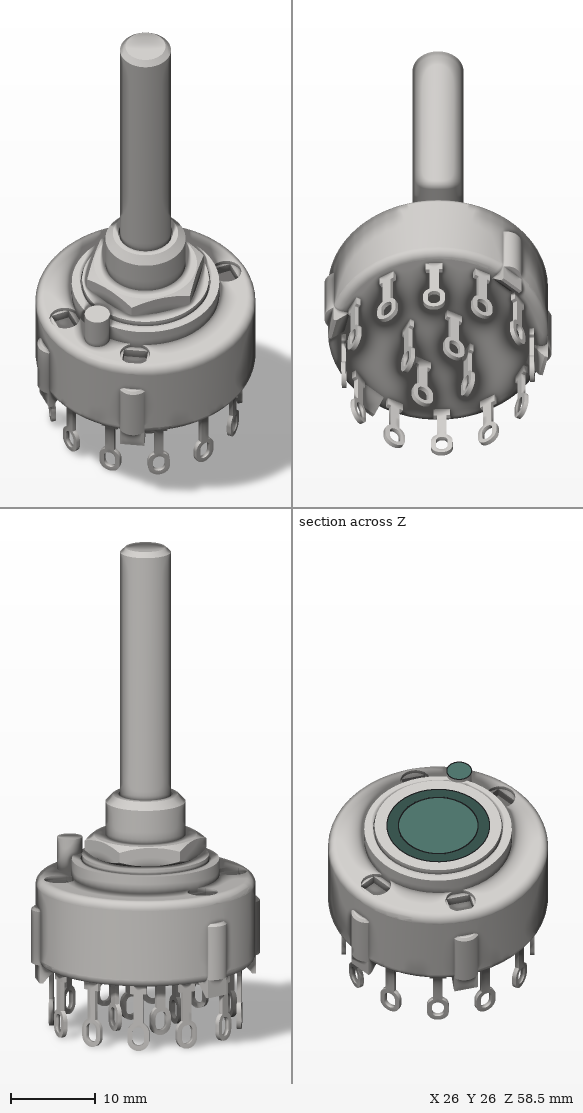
import cadquery as cq
import math


overall_height = 58.5
terminal_length = 8.1
shaft_top = overall_height - terminal_length

housing_diameter = 26.0
housing_height = 10.4
housing_edge_radius = 1.0

neck_root = housing_height - housing_edge_radius

boss_diameter = 17.45
boss_height = 2.05
boss_top = housing_height + boss_height
washer_recess_diameter = 15.3
washer_recess_depth = 0.45

bushing_diameter = 9.5
bushing_top = 20.35
bushing_chamfer = 0.9
shaft_bore_diameter = 6.4
shaft_bore_depth = 1.0
shaft_diameter = 6.0
shaft_chamfer_height = 0.6
shaft_chamfer_width = 0.65

peg_diameter = 3.0
peg_radius = 9.5
peg_top = 14.35

leg_angles = (60, 120, 240, 300)
leg_width = 2.85
snap_diameter = 3.55

pocket_radius = 10.35
pocket_counterbore_depth = 0.45
pocket_slot_length = 2.2
pocket_depth = 1.5

leg_outer_radius = 13.0
leg_bulge_top = 7.2
leg_bulge_bottom = 0.4
leg_bulge_chamfer = 0.3
leg_bottom = -1.8
leg_foot_length = 0.4
leg_inner_radius = 11.0

terminal_count = 12
terminal_ring_radius = 11.1
common_count = 4
common_ring_radius = 4.0
terminal_thickness = 0.5
terminal_stem_width = 1.1
terminal_shoulder_width = 2.0
terminal_shoulder_length = 1.15
eyelet_width = 2.6
eyelet_height = 3.45
eyelet_wall = 0.6

washer_diameter = 15.0
washer_thickness = 1.0
washer_bottom = boss_top - washer_recess_depth
washer_top = washer_bottom + washer_thickness

nut_sides = 6
nut_corner_diameter = 14.4
nut_height = 2.45
nut_turn = -6.2
nut_face_diameter = 12.15
nut_chamfer_angle = 30


def disc(diameter, bottom, top):
    """Cylinder on the Z axis between two heights."""
    return cq.Workplane("XY").workplane(offset=bottom).circle(diameter / 2).extrude(top - bottom)


def around_axis(shape, angle):
    """Copy of a shape, turned about the Z axis."""
    return shape.rotate((0, 0, 0), (0, 0, 1), angle)


def make_housing():
    """Round housing with softened top and bottom edges."""
    return disc(housing_diameter, 0, housing_height).edges().fillet(housing_edge_radius)


def make_neck():
    """Boss with the washer recess, and the chamfered bushing with a bore around the shaft."""
    boss = disc(boss_diameter, neck_root, boss_top)
    recess = disc(washer_recess_diameter, washer_bottom, boss_top)
    bushing = disc(bushing_diameter, neck_root, bushing_top).faces(">Z").chamfer(bushing_chamfer)
    bore = disc(shaft_bore_diameter, bushing_top - shaft_bore_depth, bushing_top)
    return boss.cut(recess).union(bushing).cut(bore)


def make_shaft():
    """Long shaft with a bevelled tip, rooted in the floor of the bushing bore."""
    shaft = disc(shaft_diameter, housing_height, shaft_top)
    return shaft.faces(">Z").edges().chamfer(shaft_chamfer_height, shaft_chamfer_width)


def make_peg():
    """Locating peg on the -Y side of the boss."""
    return disc(peg_diameter, neck_root, peg_top).translate((0, -peg_radius, 0))


def make_pocket():
    """Stepped pocket in the housing top, on the +X axis: shallow round step, deeper rectangle."""
    step = disc(snap_diameter, housing_height - pocket_counterbore_depth, housing_height)
    slot = (
        cq.Workplane("XY")
        .workplane(offset=housing_height - pocket_depth)
        .rect(pocket_slot_length, leg_width)
        .extrude(pocket_depth)
    )
    return step.union(slot).translate((pocket_radius, 0, 0))


def make_leg():
    """Snap leg on the +X axis: round bulge on the housing wall above a wedge-shaped foot."""
    half_width = leg_width / 2
    bulge_center = leg_outer_radius - math.sqrt((snap_diameter / 2) ** 2 - half_width**2)
    bulge = disc(snap_diameter, leg_bulge_bottom, leg_bulge_top).faces(">Z").chamfer(leg_bulge_chamfer)
    bulge = bulge.translate((bulge_center, 0, 0))
    width_limit = cq.Workplane("XY").box(housing_diameter * 2, leg_width, housing_height * 2)
    foot = (
        cq.Workplane("XZ")
        .moveTo(leg_outer_radius, leg_bulge_bottom)
        .lineTo(leg_outer_radius, leg_bottom)
        .lineTo(leg_outer_radius - leg_foot_length, leg_bottom)
        .lineTo(leg_inner_radius, 0)
        .lineTo(leg_inner_radius, leg_bulge_bottom)
        .close()
        .extrude(half_width, both=True)
    )
    return bulge.intersect(width_limit).union(foot)


def make_terminal(radius):
    """Flat solder terminal on the +X axis, with a shoulder, a narrow stem and an eyelet."""
    eyelet_center = eyelet_height / 2 - terminal_length
    root = housing_edge_radius

    def plate(width, bottom, top):
        middle = (bottom + top) / 2
        return cq.Workplane("YZ").center(0, middle).rect(width, top - bottom).extrude(terminal_thickness)

    def oval(height, width):
        return cq.Workplane("YZ").center(0, eyelet_center).slot2D(height, width, 90).extrude(terminal_thickness)

    terminal = (
        plate(terminal_shoulder_width, -terminal_shoulder_length, root)
        .union(plate(terminal_stem_width, eyelet_center, root))
        .union(oval(eyelet_height, eyelet_width))
        .cut(oval(eyelet_height - 2 * eyelet_wall, eyelet_width - 2 * eyelet_wall))
    )
    return terminal.translate((radius - terminal_thickness / 2, 0, 0))


def make_switch():
    """Housing with bushing, shaft, peg, pockets, legs and terminals as one solid."""
    switch = make_housing()
    for angle in leg_angles:
        switch = switch.cut(around_axis(make_pocket(), angle))
    switch = switch.union(make_neck()).union(make_shaft()).union(make_peg())
    for angle in leg_angles:
        switch = switch.union(around_axis(make_leg(), angle))
    for count, radius in ((terminal_count, terminal_ring_radius), (common_count, common_ring_radius)):
        spacing = 360 / count
        for index in range(count):
            switch = switch.union(around_axis(make_terminal(radius), (index + 0.5) * spacing))
    return switch


def make_washer():
    """Flat washer seated in the boss recess."""
    hole = disc(bushing_diameter, washer_bottom, washer_top)
    return disc(washer_diameter, washer_bottom, washer_top).cut(hole)


def make_nut():
    """Hexagon nut with its corners bevelled on both faces."""
    corner_radius = nut_corner_diameter / 2
    face_radius = nut_face_diameter / 2
    bevel_height = (corner_radius - face_radius) * math.tan(math.radians(nut_chamfer_angle))
    nut = cq.Workplane("XY").polygon(nut_sides, nut_corner_diameter).extrude(nut_height)
    bevel_limit = (
        cq.Workplane("XZ")
        .lineTo(face_radius, 0)
        .lineTo(corner_radius, bevel_height)
        .lineTo(corner_radius, nut_height - bevel_height)
        .lineTo(face_radius, nut_height)
        .lineTo(0, nut_height)
        .close()
        .revolve(360, (0, 0), (0, 1))
    )
    nut = nut.intersect(bevel_limit).cut(disc(bushing_diameter, 0, nut_height))
    return around_axis(nut, nut_turn).translate((0, 0, washer_top))


switch = make_switch()
washer = make_washer()
nut = make_nut()

result = cq.Compound.makeCompound([switch.val(), washer.val(), nut.val()])